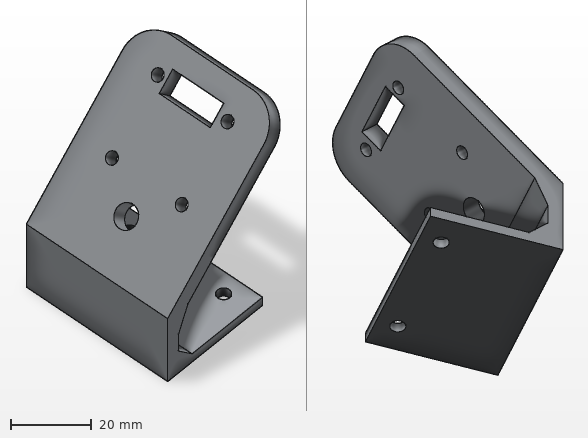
import cadquery as cq
import math

width = 47.6
height = 65.4
base_length = 35.0
base_thickness = 3.0
wall_thickness = 4.0
wall_height = 22.95
plate_depth = 4.0
corner_radius = 10.0

base_chamfer = 5.0
brace_start_height = 14.1
brace_end_height = 22.45

mount_diameter = 3.6
mount_spacing = 23.5
mount_heights = (41.3, 58.15)
shaft_diameter = 7.0
shaft_height = 34.0
opening_offset = -0.25
window_width = 17.15
window_length = 7.0
window_height = 58.05
base_hole_diameter = 4.0
base_hole_spacing = 31.7
base_hole_edge = 5.7

slope = math.sqrt(2)
plate_thickness = plate_depth * slope
plate_top_y = height - wall_height
plate_back_y = plate_top_y + plate_depth
plate_back_z = height - plate_depth
brace_end_y = plate_back_y - (plate_back_z - brace_end_height)

plate_face = cq.Workplane(
    cq.Plane(origin=(0, 0, wall_height), xDir=(1, 0, 0), normal=(0, -1, 1))
)


def along_plate(z):
    """Distance up the inclined face from the bend to height z."""
    return (z - wall_height) * slope


def make_body():
    """Side profile of base, wall and inclined plate, extruded across the width."""
    profile = [
        (0, 0),
        (base_length, 0),
        (base_length, base_thickness),
        (wall_thickness + base_chamfer, base_thickness),
        (wall_thickness, base_thickness + base_chamfer),
        (wall_thickness, brace_start_height),
        (brace_end_y, brace_end_height),
        (plate_back_y, plate_back_z),
        (plate_top_y, height),
        (0, wall_height),
    ]
    return cq.Workplane("YZ").polyline(profile).close().extrude(width / 2, both=True)


def round_upper_corners(body):
    """Round the two edges that cross the plate thickness at its top end."""
    middle = ((plate_top_y + plate_back_y) / 2, (height + plate_back_z) / 2)
    for side in (-1, 1):
        corner = (side * width / 2, *middle)
        body = body.edges(cq.selectors.NearestToPointSelector(corner)).fillet(corner_radius)
    return body


def plate_cutters():
    """Mounting holes, shaft hole and window, all square to the plate."""
    mount_points = [
        (side * mount_spacing / 2, along_plate(z))
        for side in (-1, 1)
        for z in mount_heights
    ]
    mounts = plate_face.pushPoints(mount_points).circle(mount_diameter / 2).extrude(-plate_thickness)
    shaft = (
        plate_face.center(opening_offset, along_plate(shaft_height))
        .circle(shaft_diameter / 2)
        .extrude(-plate_thickness)
    )
    window = (
        plate_face.center(opening_offset, along_plate(window_height))
        .rect(window_width, window_length)
        .extrude(-plate_thickness)
    )
    return mounts, shaft, window


def base_cutter():
    """Two fixing holes through the base near its rear edge."""
    hole_y = base_length - base_hole_edge
    points = [(side * base_hole_spacing / 2, hole_y) for side in (-1, 1)]
    return cq.Workplane("XY").pushPoints(points).circle(base_hole_diameter / 2).extrude(base_thickness)


result = round_upper_corners(make_body())
for cutter in (*plate_cutters(), base_cutter()):
    result = result.cut(cutter)